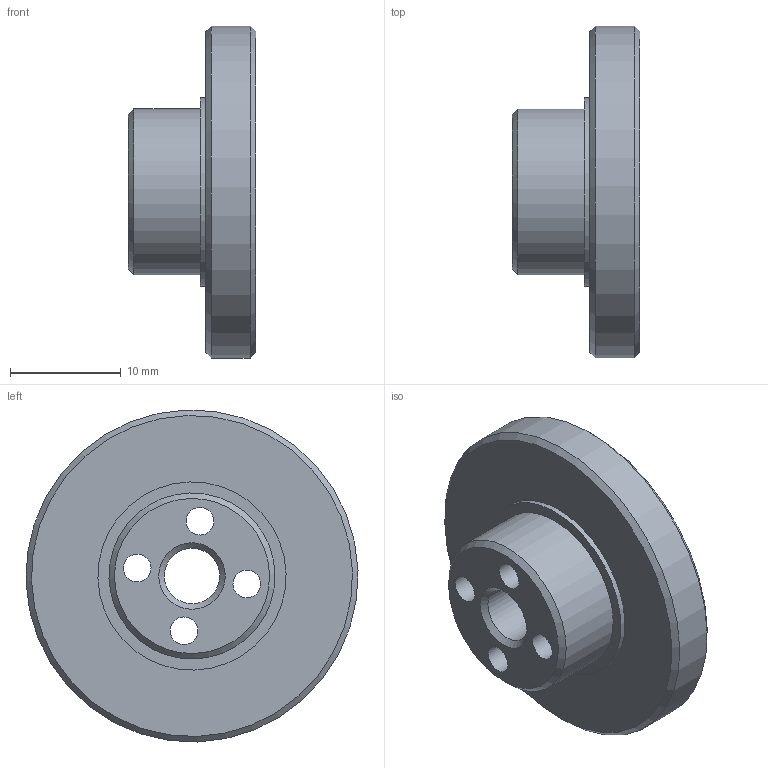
import cadquery as cq

flange_diameter = 30.0
flange_thickness = 4.5

shoulder_diameter = 17.0
shoulder_height = 0.5

hub_diameter = 15.0
hub_length = 6.5

edge_chamfer = 0.5

bore_diameter = 5.0
bolt_hole_diameter = 2.5
bolt_circle_diameter = 10.0
bolt_hole_count = 4

clocking_angle = 8.2

shoulder_start = hub_length
flange_start = shoulder_start + shoulder_height
total_length = flange_start + flange_thickness


def disc(diameter, length, start):
    """Cylinder along +X beginning at the given X position."""
    return cq.Workplane("YZ").workplane(offset=start).circle(diameter / 2).extrude(length)


def make_body():
    """Chamfered hub, shoulder and flange joined end to end."""
    hub = disc(hub_diameter, hub_length, 0).faces("<X").edges().chamfer(edge_chamfer)
    shoulder = disc(shoulder_diameter, shoulder_height, shoulder_start)
    flange = disc(flange_diameter, flange_thickness, flange_start)
    flange = flange.faces("<X or >X").edges().chamfer(edge_chamfer)
    return hub.union(shoulder).union(flange)


def make_bore():
    """Central through bore with a countersunk mouth at the hub end."""
    mouth_radius = bore_diameter / 2 + edge_chamfer
    bore = disc(bore_diameter, total_length, 0)
    mouth = cq.Workplane(
        cq.Solid.makeCone(
            mouth_radius,
            bore_diameter / 2,
            edge_chamfer,
            pnt=cq.Vector(0, 0, 0),
            dir=cq.Vector(1, 0, 0),
        )
    )
    return bore.union(mouth)


def make_bolt_holes():
    """Ring of through holes around the bore."""
    return (
        cq.Workplane("YZ")
        .polarArray(bolt_circle_diameter / 2, 0, 360, bolt_hole_count)
        .circle(bolt_hole_diameter / 2)
        .extrude(total_length)
    )


part = make_body().cut(make_bore()).cut(make_bolt_holes())
result = part.rotate((0, 0, 0), (1, 0, 0), clocking_angle)